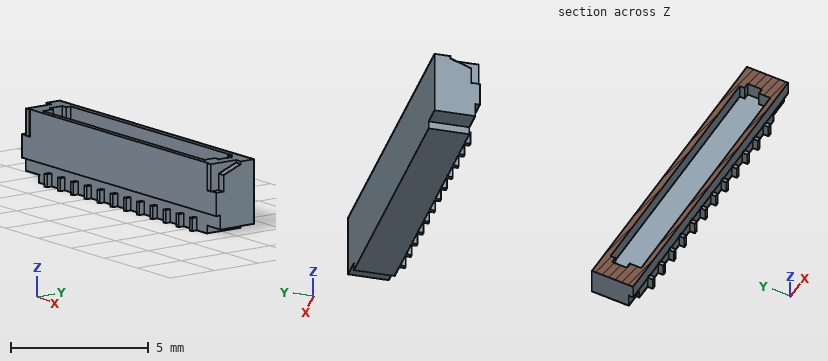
import cadquery as cq

length = 11.8
depth = 1.75
height = 2.7
back_y = depth / 2
front_y = -depth / 2

front_setback = 0.04
foot_setback = 0.21
foot_top = 0.81
end_step_length = 0.8
end_step_height = 0.3

cavity_end_wall = 1.0
cavity_side_wall = 0.25
cavity_floor = foot_top
key_end_wall = 0.77
key_back_offset = 0.45
key_front_offset = 1.03

recess_width = 0.3
recess_depth = 1.01
recess_start = 0.6
recess_slope_end = 1.38
recess_lip = 0.1
recess_slope_drop = 0.4
post_width = 0.21

contact_count = 12
contact_row = 8.8
contact_pitch = contact_row / (contact_count - 1)
contact_width = 0.15
contact_height = 0.48


def block(x_min, x_max, y_min, y_max, z_min, z_max):
    """Axis-aligned box given by its limits."""
    size = (x_max - x_min, y_max - y_min, z_max - z_min)
    return cq.Workplane("XY").box(*size, centered=False).translate((x_min, y_min, z_min))


def centred_block(x_size, y_min, y_max, z_min, z_max):
    """Box that is symmetric about the YZ plane."""
    return block(-x_size / 2, x_size / 2, y_min, y_max, z_min, z_max)


def both_ends(shape):
    """Shape together with its mirror image at the other end."""
    return shape.union(shape.mirror("YZ"))


def make_housing():
    wall_front = front_y + front_setback
    foot_front = front_y + foot_setback
    upper = centred_block(length, wall_front, back_y, foot_top, height)
    middle = centred_block(length, foot_front, back_y, end_step_height, foot_top)
    foot_length = length - 2 * end_step_length
    foot = centred_block(foot_length, foot_front, back_y, 0, end_step_height)
    return upper.union(middle).union(foot)


def make_cavity():
    main = centred_block(
        length - 2 * cavity_end_wall,
        front_y + cavity_side_wall,
        back_y - cavity_side_wall,
        cavity_floor,
        height,
    )
    keys = centred_block(
        length - 2 * key_end_wall,
        back_y - key_front_offset,
        back_y - key_back_offset,
        cavity_floor,
        height,
    )
    return main.union(keys)


def make_recesses():
    start_y = back_y - recess_start
    slope_end_y = back_y - recess_slope_end
    profile = [
        (start_y, height),
        (start_y, height - recess_lip),
        (slope_end_y, height - recess_slope_drop),
        (slope_end_y, height - recess_depth),
        (front_y, height - recess_depth),
        (front_y, height),
    ]
    left = (
        cq.Workplane("YZ", origin=(-length / 2, 0, 0))
        .polyline(profile)
        .close()
        .extrude(recess_width)
    )
    return both_ends(left)


def make_posts():
    outer_x = -length / 2 + recess_width
    wall_front = front_y + front_setback
    left = block(outer_x, outer_x + post_width, front_y, wall_front, height - recess_depth, height)
    return both_ends(left)


def make_contacts():
    first_x = -contact_row / 2
    centres = [(first_x + i * contact_pitch, 0) for i in range(contact_count)]
    contact = centred_block(contact_width, front_y, front_y + foot_setback, 0, contact_height)
    return cq.Workplane("XY").pushPoints(centres).eachpoint(contact.val(), combine=False)


result = (
    make_housing()
    .cut(make_cavity())
    .cut(make_recesses())
    .union(make_posts())
    .union(make_contacts())
)